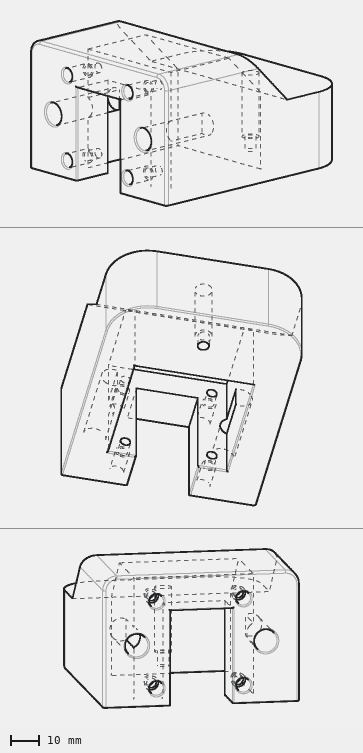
import cadquery as cq

width = 70.0
length = 88.0
height = 47.0
rear_height = 28.0
slope_end_y = 58.0
slope_start_y = slope_end_y - (height - rear_height)
rear_corner_radius = 15.0
top_edge_radius = 5.0
front_edge_radius = 1.0
base_edge_radius = 0.5

axis_z = 22.0
pocket_width = 42.5
pocket_top_z = axis_z + pocket_width / 2
front_wall = 15.0

slot_width = 22.1
slot_offset_x = 0.1
slot_top_z = 34.0

screw_spacing = 31.0
screw_offset_x = -0.45
screw_diameter = 3.5
screw_head_diameter = 5.0
screw_seat_wall = 5.0
rod_spacing = 46.0
rod_diameter = 8.1
rod_hole_depth = 30.0
opening_radius = 0.5

match_tolerance = 0.01

mount_y = 73.0
mount_diameter = 4.0
mount_head_diameter = 6.0
mount_seat_z = 5.0


def block():
    """Block with a sloped step, rounded rear corners and rounded top and front edges."""
    profile = [
        (0, 0),
        (length, 0),
        (length, rear_height),
        (slope_end_y, rear_height),
        (slope_start_y, height),
        (0, height),
    ]
    solid = cq.Workplane("YZ").polyline(profile).close().extrude(width / 2, both=True)
    solid = solid.edges("|Z and >Y").fillet(rear_corner_radius)
    solid = solid.faces(">Z").edges("|Y").fillet(top_edge_radius)
    return solid.faces("<Y").edges("not <Z").fillet(front_edge_radius)


def base_cut(middle_x, cut_width, start_y, end_y, top_z):
    """Box centred on middle_x that rises from the base to top_z."""
    plane = cq.Workplane("XY", origin=(middle_x, start_y, 0))
    return plane.box(cut_width, end_y - start_y, top_z, centered=(True, False, False))


def bore(x, z, diameter, depth):
    """Cylinder running in from the front face."""
    return cq.Workplane("XZ").center(x, z).circle(diameter / 2).extrude(-depth)


def screw_hole(x, z):
    """Counterbored screw hole from the front face into the pocket."""
    head = bore(x, z, screw_head_diameter, front_wall - screw_seat_wall)
    return head.union(bore(x, z, screw_diameter, front_wall))


def mount_hole():
    """Counterbored vertical hole through the rear platform."""
    shank = cq.Workplane("XY", origin=(0, mount_y, 0)).circle(mount_diameter / 2).extrude(rear_height)
    head = (
        cq.Workplane("XY", origin=(0, mount_y, mount_seat_z))
        .circle(mount_head_diameter / 2)
        .extrude(rear_height - mount_seat_z)
    )
    return shank.union(head)


def front_opening_edges(solid):
    """Edges of the slot and hole mouths that lie on the front face."""
    mouths = []
    for edge in solid.faces("<Y").edges().vals():
        middle = edge.Center()
        beside_slot = abs(abs(middle.x - slot_offset_x) - slot_width / 2) < match_tolerance
        above_slot = abs(middle.z - slot_top_z) < match_tolerance
        if edge.IsClosed() or beside_slot or above_slot:
            mouths.append(edge)
    return mouths


result = block()
result = result.cut(base_cut(0, pocket_width, front_wall, slope_end_y, pocket_top_z))
result = result.cut(base_cut(slot_offset_x, slot_width, 0, front_wall, slot_top_z))

for side in (-1, 1):
    result = result.cut(bore(side * rod_spacing / 2, axis_z, rod_diameter, rod_hole_depth))
    screw_x = screw_offset_x + side * screw_spacing / 2
    for level in (-1, 1):
        result = result.cut(screw_hole(screw_x, axis_z + level * screw_spacing / 2))

result = result.newObject(front_opening_edges(result)).fillet(opening_radius)
result = result.faces("<Z").edges().fillet(base_edge_radius)

result = result.cut(mount_hole())